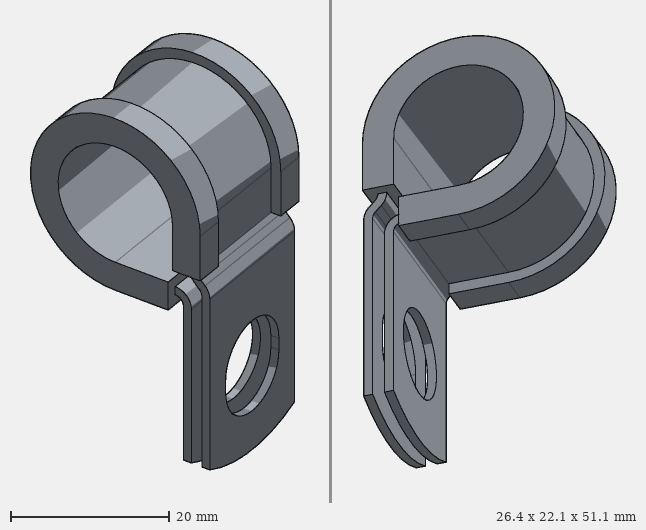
import cadquery as cq
import math

bore_radius = 8.75
rim_radius = 13.0
cushion_width = 22.1
rim_width = 4.1
upper_end_z = -6.75
lower_end_x = 8.05

strap_thickness = 1.25
strap_outer_radius = 11.5
strap_width = 19.0
strap_mid_radius = strap_outer_radius - strap_thickness / 2

overall_height = 51.1
tab_bottom_z = rim_radius - overall_height
outer_tab_x = 13.4 - strap_thickness / 2
inner_tab_x = 10.6 - strap_thickness / 2
tab_end_sagitta = 2.1
hole_diameter = 11.9
slot_length = 13.65
hole_z = -25.4

bend_radius = 1.9
offset_bend_angle = math.radians(45)
offset_bend_end_z = -10.2
embedded_length = 2.55


def loop_wall(outer_radius, width):
    """Three-quarter ring around the bore, with one straight leg down and one to the right."""
    diagonal = math.sqrt(0.5)
    return (
        cq.Workplane("XZ")
        .moveTo(outer_radius, upper_end_z)
        .lineTo(outer_radius, 0)
        .threePointArc((-outer_radius * diagonal, outer_radius * diagonal), (0, -outer_radius))
        .lineTo(lower_end_x, -outer_radius)
        .lineTo(lower_end_x, -bore_radius)
        .lineTo(0, -bore_radius)
        .threePointArc((-bore_radius * diagonal, bore_radius * diagonal), (bore_radius, 0))
        .lineTo(bore_radius, upper_end_z)
        .close()
        .extrude(width / 2, both=True)
    )


def make_cushion():
    cushion = loop_wall(strap_outer_radius, cushion_width)
    rim_offset = (cushion_width - rim_width) / 2
    for side in (-1, 1):
        rim = loop_wall(rim_radius, rim_width).translate((0, side * rim_offset, 0))
        cushion = cushion.union(rim)
    return cushion


def make_inner_strap():
    """Strap end leaving the horizontal leg and turning straight down."""
    bend_start_x = inner_tab_x - bend_radius
    bend_end_z = -strap_mid_radius - bend_radius
    start_x = lower_end_x - embedded_length
    path = (
        cq.Workplane("XZ")
        .moveTo(start_x, -strap_mid_radius)
        .lineTo(bend_start_x, -strap_mid_radius)
        .tangentArcPoint((inner_tab_x, bend_end_z), relative=False)
        .lineTo(inner_tab_x, tab_bottom_z)
    )
    section = cq.Workplane("YZ", origin=(start_x, 0, -strap_mid_radius)).rect(strap_width, strap_thickness)
    return section.sweep(path)


def make_outer_strap():
    """Strap end leaving the vertical leg and stepping outward in an S-bend."""
    bend_dx = bend_radius * (1 - math.cos(offset_bend_angle))
    bend_dz = bend_radius * math.sin(offset_bend_angle)
    slope_start_x = strap_mid_radius + bend_dx
    slope_end_x = outer_tab_x - bend_dx
    slope_end_z = offset_bend_end_z + bend_dz
    slope_start_z = slope_end_z + (slope_end_x - slope_start_x) / math.tan(offset_bend_angle)
    start_z = upper_end_z + embedded_length
    path = (
        cq.Workplane("XZ")
        .moveTo(strap_mid_radius, start_z)
        .lineTo(strap_mid_radius, slope_start_z + bend_dz)
        .tangentArcPoint((slope_start_x, slope_start_z), relative=False)
        .lineTo(slope_end_x, slope_end_z)
        .tangentArcPoint((outer_tab_x, offset_bend_end_z), relative=False)
        .lineTo(outer_tab_x, tab_bottom_z)
    )
    section = cq.Workplane("XY", origin=(strap_mid_radius, 0, start_z)).rect(strap_thickness, strap_width)
    return section.sweep(path)


def make_tab_outline():
    """Block along X with the tabs' curved lower end, for trimming both straps."""
    half_width = strap_width / 2
    corner_z = tab_bottom_z + tab_end_sagitta
    return (
        cq.Workplane("YZ")
        .moveTo(-half_width, 0)
        .lineTo(-half_width, corner_z)
        .threePointArc((0, tab_bottom_z), (half_width, corner_z))
        .lineTo(half_width, 0)
        .close()
        .extrude(outer_tab_x + strap_thickness)
    )


tab_outline = make_tab_outline()
hole_plane = cq.Workplane("YZ", origin=(0, 0, hole_z))
round_hole = hole_plane.circle(hole_diameter / 2).extrude(inner_tab_x + strap_thickness)
vertical_slot = hole_plane.slot2D(slot_length, hole_diameter, 90).extrude(outer_tab_x + strap_thickness)

inner_strap = make_inner_strap().intersect(tab_outline).cut(round_hole)
outer_strap = make_outer_strap().intersect(tab_outline).cut(vertical_slot)
result = make_cushion().union(inner_strap).union(outer_strap)